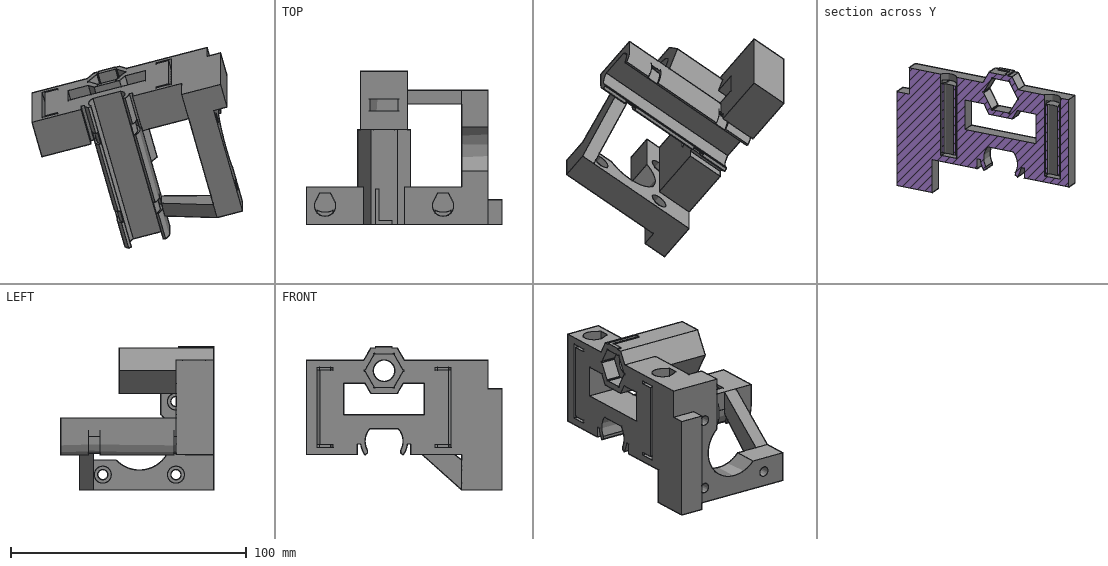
import cadquery as cq
import math


block_left = -32.9
block_right = 44.1
block_depth = 16.0
block_height = 40.0
window_half_width = 17.0
window_bottom = 17.0
window_top = 30.2

hexagon_sides = 6
housing_radius = 11.2
housing_length = 40.2
screw_height = 35.56
nut_radius = 8.2
nut_depth = 6.6
nut_corner_relief = 0.3
screw_hole_radius = 4.5

mark_left = -3.65
mark_length = 15.1
mark_bar_width = 1.45
mark_foot_width = 1.7
mark_foot_length = 7.05
mark_thickness = 0.5

holder_length = 65.0
holder_radius = 10.0
holder_top = 15.55
bearing_height = 5.7
bearing_radius = 8.0
bearing_roof = 10.9
mouth_half_width = 7.0
arm_end_angle = 36.0
relief_half_width = 11.3
relief_height = 4.5

tie_width = 5.0
tie_starts = (12.0, 48.2)
tie_inner_radius = 9.0
tie_arch_radius = 9.95
tie_arch_height = 7.6

socket_offset = 25.0
socket_y = 8.0
socket_radius = 4.5
socket_flat = 5.3
socket_flat_half_width = 2.3
socket_tangent_angle = 20.0
slit_width = 1.2
flap_half_width = 3.4
flap_bottom = 3.0
flap_top = 37.0
flap_pad_radius = 7.2
flap_pad_middle = 5.2

plate_left = 32.9
plate_bottom = -15.0
plate_upper_depth = 22.6
plate_lower_depth = 57.0
plate_lower_top = -2.25
motor_y = 31.6
motor_z = 7.0
motor_boss_radius = 13.5
screw_spacing = 31.0
plate_screw_radius = 2.1
plate_head_radius = 3.6
plate_head_depth = 3.0
flange_right = 50.0
flange_depth = 10.5
flange_top = 28.0
brace_thickness = 6.0
brace_foot_height = 5.5


def box(x0, x1, y0, y1, z0, z1):
    return cq.Workplane("XY").box(x1 - x0, y1 - y0, z1 - z0, centered=False).translate((x0, y0, z0))


def sketch_at(y):
    """A workplane facing the front at depth y: local X is X, local Y is Z, and it extrudes toward -Y."""
    return cq.Workplane("XZ", origin=(0, y, 0))


def cylinder_y(radius, height, y0, y1):
    """A cylinder along Y at X = 0 and the given height."""
    return sketch_at(y1).center(0, height).circle(radius).extrude(y1 - y0)


def cylinder_x(radius, y, z, x0, x1):
    return cq.Workplane("YZ", origin=(x0, 0, 0)).center(y, z).circle(radius).extrude(x1 - x0)


def hexagon_y(radius, y0, y1):
    """A hexagonal prism on the screw axis with corners to the left and right."""
    return sketch_at(y1).center(0, screw_height).polygon(hexagon_sides, 2 * radius).extrude(y1 - y0)


def main_block():
    block = box(block_left, block_right, 0, block_depth, 0, block_height)
    window = box(-window_half_width, window_half_width, 0, block_depth, window_bottom, window_top)
    relief = box(-relief_half_width, relief_half_width, 0, block_depth, 0, relief_height)
    return block.cut(window).cut(relief)


def motor_plate():
    upper = box(plate_left, block_right, 0, plate_upper_depth, plate_bottom, block_height)
    lower = box(plate_left, block_right, 0, plate_lower_depth, plate_bottom, plate_lower_top)
    flange = box(block_right, flange_right, 0, flange_depth, plate_bottom, flange_top)
    plate = upper.union(lower).union(flange)
    return plate.cut(cylinder_x(motor_boss_radius, motor_y, motor_z, plate_left, block_right))


def motor_screw_holes():
    front_y = motor_y - screw_spacing / 2
    back_y = motor_y + screw_spacing / 2
    low_z = motor_z - screw_spacing / 2
    high_z = motor_z + screw_spacing / 2
    holes = cq.Workplane("XY")
    for y, z in ((front_y, low_z), (back_y, low_z), (front_y, high_z)):
        holes = holes.add(cylinder_x(plate_screw_radius, y, z, plate_left, block_right))
        head = cylinder_x(plate_head_radius, y, z, plate_left, plate_left + plate_head_depth)
        holes = holes.add(head)
    return holes.combine()


def brace():
    """Sloping web from the side of the bearing holder to the far end of the motor plate."""
    outline = [
        (holder_radius, brace_foot_height),
        (holder_radius, holder_top),
        (plate_left, plate_lower_top),
        (plate_left, plate_bottom),
    ]
    return sketch_at(plate_lower_depth).polyline(outline).close().extrude(brace_thickness)


def bearing_holder():
    upper = box(-holder_radius, holder_radius, 0, holder_length, bearing_height, holder_top)
    barrel = cylinder_y(holder_radius, bearing_height, 0, holder_length)
    bottom = bearing_height - holder_radius
    lower = box(-holder_radius, holder_radius, 0, holder_length, bottom, bearing_height)
    return upper.union(barrel.intersect(lower))


def bearing_bore():
    """Flat-roofed bore whose mouth opens downward and leaves two snap arms with radial ends."""
    bore = cylinder_y(bearing_radius, bearing_height, 0, holder_length)
    roof = box(-bearing_radius, bearing_radius, 0, holder_length, bearing_roof, holder_top)
    mouth = box(-mouth_half_width, mouth_half_width, 0, holder_length, -mouth_half_width, bearing_height)
    wedge_half_width = 2 * holder_radius
    wedge_drop = wedge_half_width * math.tan(math.radians(arm_end_angle))
    wedge = (
        sketch_at(holder_length)
        .moveTo(0, bearing_height)
        .lineTo(-wedge_half_width, bearing_height - wedge_drop)
        .lineTo(wedge_half_width, bearing_height - wedge_drop)
        .close()
        .extrude(holder_length)
    )
    wedge = wedge.intersect(cylinder_y(holder_radius, bearing_height, 0, holder_length))
    return bore.cut(roof).union(mouth).union(wedge)


def tie_groove(start):
    """Arched channel over the bearing, as high as the holder, that opens out at the sides and below."""
    end = start + tie_width
    bottom = bearing_height - holder_radius
    arch = cylinder_y(tie_arch_radius, tie_arch_height, start, end)
    limits = box(-holder_radius, holder_radius, start, end, bottom, holder_top)
    sides = box(-holder_radius, holder_radius, start, end, bottom, tie_arch_height)
    return arch.intersect(limits).union(sides).cut(cylinder_y(tie_inner_radius, bearing_height, start, end))


def nut_housing():
    return hexagon_y(housing_radius, 0, housing_length)


def nut_pocket():
    """Hexagonal pocket for the nut, with a small round relief in every corner."""
    reliefs = (
        sketch_at(nut_depth)
        .center(0, screw_height)
        .polarArray(nut_radius, 0, 360, hexagon_sides)
        .circle(nut_corner_relief)
        .extrude(nut_depth)
    )
    return hexagon_y(nut_radius, 0, nut_depth).union(reliefs)


def raised_mark():
    base = screw_height + housing_radius * math.cos(math.pi / hexagon_sides)
    top = base + mark_thickness
    bar = box(mark_left, mark_left + mark_bar_width, 0, mark_length, base, top)
    foot = box(mark_left, mark_left + mark_foot_length, 0, mark_foot_width, base, top)
    return bar.union(foot)


def rod_socket(x):
    """Blind vertical socket: round toward the front, tapering to a flat toward the back."""
    tangent = math.radians(socket_tangent_angle)
    side_x = socket_radius * math.cos(tangent)
    side_y = socket_radius * math.sin(tangent)
    return (
        cq.Workplane("XY", origin=(x, socket_y, flap_bottom))
        .moveTo(side_x, side_y)
        .lineTo(socket_flat_half_width, socket_flat)
        .lineTo(-socket_flat_half_width, socket_flat)
        .lineTo(-side_x, side_y)
        .threePointArc((0, -socket_radius), (side_x, side_y))
        .close()
        .extrude(block_height - flap_bottom)
    )


def flap_pad(x):
    """Pad on the inside of the clamping flap, with a hollow face that grips the rod."""
    pad = box(
        x - flap_half_width, x + flap_half_width,
        0, socket_y,
        flap_bottom + slit_width, flap_top - slit_width,
    )
    hollow = (
        cq.Workplane("XY", origin=(x, flap_pad_middle + flap_pad_radius, 0))
        .circle(flap_pad_radius)
        .extrude(block_height)
    )
    return pad.cut(hollow).intersect(rod_socket(x))


def flap_slits(x, free_side):
    """Slits above, below and along the free edge of a flap; free_side is -1 for left, 1 for right."""
    left = x - flap_half_width
    right = x + flap_half_width
    low = box(left, right, 0, socket_y, flap_bottom, flap_bottom + slit_width)
    high = box(left, right, 0, socket_y, flap_top - slit_width, flap_top)
    edge = x + free_side * flap_half_width
    inner = edge - free_side * slit_width
    side = box(min(edge, inner), max(edge, inner), 0, socket_y, flap_bottom, flap_top)
    return low.union(high).union(side)


def build():
    body = main_block().union(motor_plate()).union(bearing_holder()).union(brace())
    body = body.union(nut_housing()).union(raised_mark())
    body = body.cut(bearing_bore())
    for start in tie_starts:
        body = body.cut(tie_groove(start))
    body = body.cut(nut_pocket())
    body = body.cut(cylinder_y(screw_hole_radius, screw_height, 0, housing_length))
    body = body.cut(motor_screw_holes())
    for side in (-1, 1):
        x = side * socket_offset
        body = body.cut(flap_slits(x, side)).cut(rod_socket(x)).union(flap_pad(x))
    return body


result = build()